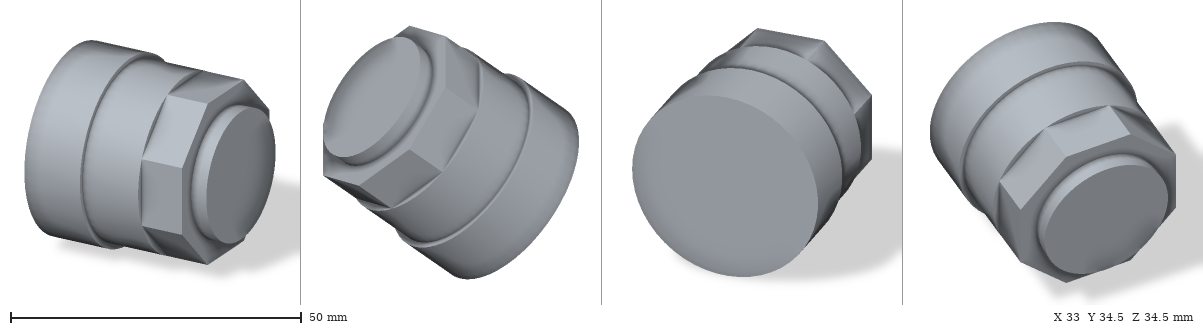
import cadquery as cq
import math

overall_length = 33.0
cap_length = 11.05
collar_length = 10.97
octagon_length = 8.0
spigot_length = overall_length - cap_length - collar_length - octagon_length

cap_diameter = 34.5
collar_diameter = 32.5
octagon_across_flats = 30.0
spigot_diameter = 23.8

octagon_sides = 8
octagon_across_corners = octagon_across_flats / math.cos(math.pi / octagon_sides)
half_side_angle = 180 / octagon_sides

cap_start = -overall_length / 2
collar_start = cap_start + cap_length
octagon_start = collar_start + collar_length
spigot_start = octagon_start + octagon_length


def make_disc(start, diameter, length):
    """Solid cylinder along +X from the given start."""
    return cq.Workplane("YZ", origin=(start, 0, 0)).circle(diameter / 2).extrude(length)


def make_cap():
    """Widest disc, closing the -X end."""
    return make_disc(cap_start, cap_diameter, cap_length)


def make_collar():
    """Slightly narrower disc between the cap and the nut."""
    return make_disc(collar_start, collar_diameter, collar_length)


def make_nut():
    """Octagonal nut with a round spigot on its +X end."""
    octagon = (
        cq.Workplane("YZ", origin=(octagon_start, 0, 0))
        .polygon(octagon_sides, octagon_across_corners)
        .extrude(octagon_length)
        .rotate((0, 0, 0), (1, 0, 0), half_side_angle)
    )
    return octagon.union(make_disc(spigot_start, spigot_diameter, spigot_length))


cap = make_cap()
collar = make_collar()
nut = make_nut()

result = cq.Compound.makeCompound([cap.val(), collar.val(), nut.val()])